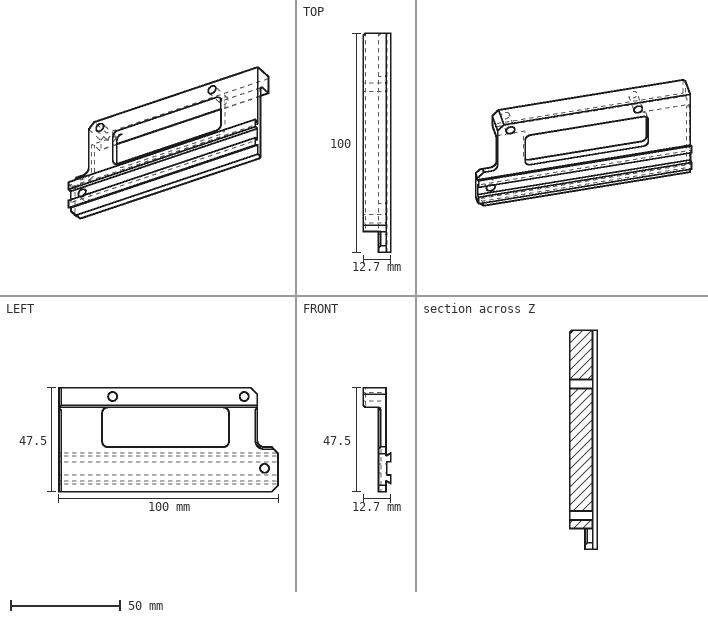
import cadquery as cq
import math

LENGTH = 100.0
HEIGHT = 47.5
TOTAL_DEPTH = 12.67

PLATE_THICKNESS = 3.5
STEP_TOP = 20.5
STEP_LENGTH = 9.5
STEP_FILLET = 3.0
CORNER_CHAMFER = 3.0
EDGE_CHAMFER = 1.0
CAP_RADIUS = 1.5

HEAD_DEPTH = 10.5
HEAD_UNDERSIDE = 38.5

WINDOW_START = 22.5
WINDOW_LENGTH = 57.75
WINDOW_FILLET = 2.5

HOLE_DIAMETER = 4.0
HEAD_HOLE_START = 15.5
HEAD_HOLE_SPACING = 60.0
HEAD_HOLE_Z = 43.5
EAR_HOLE_Y = 6.2
RAIL_CENTRE_Z = 10.75

RAIL_DEPTH = TOTAL_DEPTH - HEAD_DEPTH
RAIL_TIP_HALF_HEIGHT = 7.0
RAIL_FLANK_ANGLE = 30.0
RAIL_GROOVE_WIDTH = 6.0
RAIL_GROOVE_FLOOR = 0.3

FRONT_X = -PLATE_THICKNESS
HEAD_FRONT_X = -HEAD_DEPTH
CAP_AXIS_Z = HEAD_UNDERSIDE - CAP_RADIUS


def make_outline(start_x, end_x):
    """Side outline in the YZ plane, extruded from start_x to end_x."""
    fillet_offset = STEP_FILLET * (1 - math.sqrt(0.5))
    return (
        cq.Workplane("YZ", origin=(start_x, 0, 0))
        .moveTo(CORNER_CHAMFER, 0)
        .lineTo(LENGTH, 0)
        .lineTo(LENGTH, HEIGHT)
        .lineTo(STEP_LENGTH + CORNER_CHAMFER, HEIGHT)
        .lineTo(STEP_LENGTH, HEIGHT - CORNER_CHAMFER)
        .lineTo(STEP_LENGTH, STEP_TOP + STEP_FILLET)
        .threePointArc(
            (STEP_LENGTH - fillet_offset, STEP_TOP + fillet_offset),
            (STEP_LENGTH - STEP_FILLET, STEP_TOP),
        )
        .lineTo(CORNER_CHAMFER, STEP_TOP)
        .lineTo(0, STEP_TOP - CORNER_CHAMFER)
        .lineTo(0, CORNER_CHAMFER)
        .close()
        .extrude(end_x - start_x)
    )


def make_body():
    """Plate and head: the outline trimmed to an inverted L in the XZ plane."""
    section = (
        cq.Workplane("XZ")
        .moveTo(0, 0)
        .lineTo(0, HEIGHT)
        .lineTo(HEAD_FRONT_X, HEIGHT)
        .lineTo(HEAD_FRONT_X, HEAD_UNDERSIDE + EDGE_CHAMFER)
        .lineTo(HEAD_FRONT_X + EDGE_CHAMFER, HEAD_UNDERSIDE)
        .lineTo(FRONT_X, HEAD_UNDERSIDE)
        .lineTo(FRONT_X, 0)
        .close()
        .extrude(-LENGTH)
    )
    return make_outline(HEAD_FRONT_X, 0).intersect(section)


def end_chamfer_cutter(front_x, bottom, top):
    """Prism that bevels the vertical front edge at the far Y end."""
    return (
        cq.Workplane("XY", origin=(front_x, LENGTH, bottom))
        .polyline([(0, 0), (EDGE_CHAMFER, 0), (0, -EDGE_CHAMFER)])
        .close()
        .extrude(top - bottom)
    )


def round_cap_cutter(wall_y, inward):
    """Cone that ends a vertical front edge bevel just below the head."""
    return cq.Workplane(
        cq.Solid.makeCone(
            CAP_RADIUS,
            CAP_RADIUS - EDGE_CHAMFER,
            EDGE_CHAMFER,
            pnt=cq.Vector(FRONT_X + EDGE_CHAMFER - CAP_RADIUS, wall_y, CAP_AXIS_Z),
            dir=cq.Vector(0, inward, 0),
        )
    )


def step_chamfer_cutter():
    """Bevel following the wall, the fillet and the top of the ear."""
    arc_y = STEP_LENGTH - STEP_FILLET
    arc_z = STEP_TOP + STEP_FILLET
    wall = (
        cq.Workplane("XY", origin=(FRONT_X, STEP_LENGTH, arc_z))
        .polyline([(0, 0), (EDGE_CHAMFER, 0), (0, EDGE_CHAMFER)])
        .close()
        .extrude(CAP_AXIS_Z - arc_z)
    )
    ledge = (
        cq.Workplane("XZ", origin=(FRONT_X, 0, STEP_TOP))
        .polyline([(0, 0), (EDGE_CHAMFER, 0), (0, -EDGE_CHAMFER)])
        .close()
        .extrude(-arc_y)
    )
    bend = cq.Workplane(
        cq.Solid.makeCone(
            STEP_FILLET + EDGE_CHAMFER,
            STEP_FILLET,
            EDGE_CHAMFER,
            pnt=cq.Vector(FRONT_X, arc_y, arc_z),
            dir=cq.Vector(1, 0, 0),
        )
    )
    quadrant = (
        cq.Workplane("XY")
        .box(EDGE_CHAMFER, 2 * STEP_FILLET, 2 * STEP_FILLET, centered=False)
        .translate((FRONT_X, arc_y, arc_z - 2 * STEP_FILLET))
    )
    return wall.union(ledge).union(bend.intersect(quadrant))


def make_rail():
    """Grooved dovetail rail on the plate back, its tips trimmed by the outline corners."""
    flank_rise = RAIL_DEPTH * math.tan(math.radians(RAIL_FLANK_ANGLE))
    root_half_height = RAIL_TIP_HALF_HEIGHT - flank_rise
    groove_half = RAIL_GROOVE_WIDTH / 2
    bar = (
        cq.Workplane("XZ", origin=(0, 0, RAIL_CENTRE_Z))
        .moveTo(0, -root_half_height)
        .lineTo(RAIL_DEPTH, -RAIL_TIP_HALF_HEIGHT)
        .lineTo(RAIL_DEPTH, -groove_half)
        .lineTo(RAIL_GROOVE_FLOOR, -groove_half)
        .lineTo(RAIL_GROOVE_FLOOR, groove_half)
        .lineTo(RAIL_DEPTH, groove_half)
        .lineTo(RAIL_DEPTH, RAIL_TIP_HALF_HEIGHT)
        .lineTo(0, root_half_height)
        .close()
        .extrude(-LENGTH)
    )
    return bar.intersect(make_outline(0, RAIL_DEPTH))


def window_cutter():
    """Rounded window through the plate, reaching up to the head."""
    return (
        cq.Workplane("XY")
        .box(PLATE_THICKNESS, WINDOW_LENGTH, HEAD_UNDERSIDE - STEP_TOP, centered=False)
        .edges("|X")
        .fillet(WINDOW_FILLET)
        .translate((FRONT_X, WINDOW_START, STEP_TOP))
    )


def hole_cutter():
    """Two holes through the head and one through the ear and rail."""
    centres = [
        (HEAD_HOLE_START, HEAD_HOLE_Z),
        (HEAD_HOLE_START + HEAD_HOLE_SPACING, HEAD_HOLE_Z),
        (EAR_HOLE_Y, RAIL_CENTRE_Z),
    ]
    return (
        cq.Workplane("YZ", origin=(HEAD_FRONT_X, 0, 0))
        .pushPoints(centres)
        .circle(HOLE_DIAMETER / 2)
        .extrude(TOTAL_DEPTH)
    )


body = make_body()
body = body.cut(end_chamfer_cutter(HEAD_FRONT_X, HEAD_UNDERSIDE, HEIGHT))
body = body.cut(end_chamfer_cutter(FRONT_X, 0, CAP_AXIS_Z))
body = body.cut(round_cap_cutter(LENGTH, -1))
body = body.cut(step_chamfer_cutter())
body = body.cut(round_cap_cutter(STEP_LENGTH, 1))
body = body.cut(window_cutter())
result = body.union(make_rail()).cut(hole_cutter())